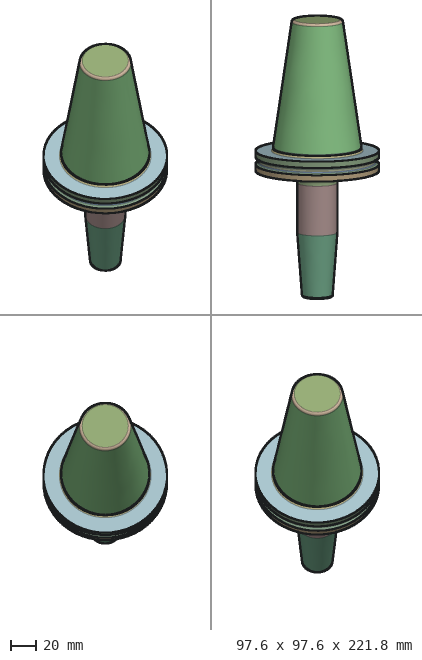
import cadquery as cq

taper_length = 101.8
gauge_diameter = 69.9
gauge_radius = gauge_diameter / 2
taper_half_slope = 7 / 48
taper_end_radius = gauge_radius - taper_half_slope * taper_length
end_round = 2.2

band_height = 1.0
neck_radius = 34.4
neck_fillet = 1.8

flange_radius = 48.8
flange_top = -3.0
flange_bottom = -19.0
groove_middle = (flange_top + flange_bottom) / 2
groove_depth = 2.7
groove_mouth = 5.8
groove_floor = 2.9
groove_corner_round = 0.9
groove_radius = flange_radius - groove_depth

overall_length = 221.8
nose_bottom = taper_length - overall_length
nose_radius = 16.0
nose_fillet = 9.8
cone_top = -68.5
tip_radius = 12.2
tip_chamfer = 1.0

body = (
    cq.Workplane("XZ")
    .moveTo(0, nose_bottom)
    .lineTo(tip_radius - tip_chamfer, nose_bottom)
    .lineTo(tip_radius, nose_bottom + tip_chamfer)
    .lineTo(nose_radius, cone_top)
    .lineTo(nose_radius, flange_bottom - nose_fillet)
    .radiusArc((nose_radius + nose_fillet, flange_bottom), nose_fillet)
    .lineTo(flange_radius, flange_bottom)
    .lineTo(flange_radius, groove_middle - groove_mouth / 2)
    .lineTo(groove_radius, groove_middle - groove_floor / 2)
    .lineTo(groove_radius, groove_middle + groove_floor / 2)
    .lineTo(flange_radius, groove_middle + groove_mouth / 2)
    .lineTo(flange_radius, flange_top)
    .lineTo(neck_radius + neck_fillet, flange_top)
    .radiusArc((neck_radius, flange_top + neck_fillet), neck_fillet)
    .lineTo(neck_radius, -band_height)
    .lineTo(gauge_radius, -band_height)
    .lineTo(gauge_radius, 0)
    .lineTo(taper_end_radius, taper_length)
    .lineTo(0, taper_length)
    .close()
    .revolve(360, (0, 0, 0), (0, 1, 0))
)

floor_edges = body.edges(
    cq.selectors.BoxSelector(
        (-flange_radius, -flange_radius, groove_middle - groove_floor),
        (flange_radius, flange_radius, groove_middle + groove_floor),
    )
).edges(cq.selectors.RadiusNthSelector(0))
body = floor_edges.fillet(groove_corner_round)

result = body.faces(">Z").edges().fillet(end_round)